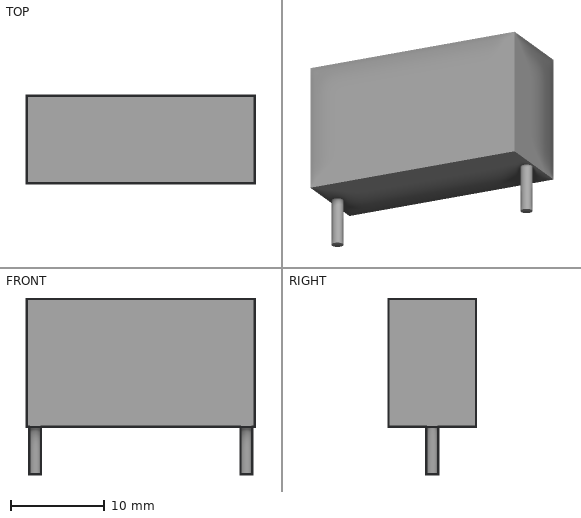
import cadquery as cq

body_length = 24.4
body_width = 9.4
overall_height = 18.8

lead_diameter = 1.3
lead_length = 5.08
lead_spacing = 22.6

body_height = overall_height - lead_length


def make_body():
    """Plain rectangular block standing on the plane Z = 0."""
    return cq.Workplane("XY").box(body_length, body_width, body_height, centered=(True, True, False))


def make_lead(x):
    """Straight round lead hanging from the underside of the body."""
    return cq.Workplane("XY").center(x, 0).circle(lead_diameter / 2).extrude(-lead_length)


body = make_body()
leads = [make_lead(side * lead_spacing / 2) for side in (-1, 1)]

result = cq.Compound.makeCompound([body.val(), *[lead.val() for lead in leads]])